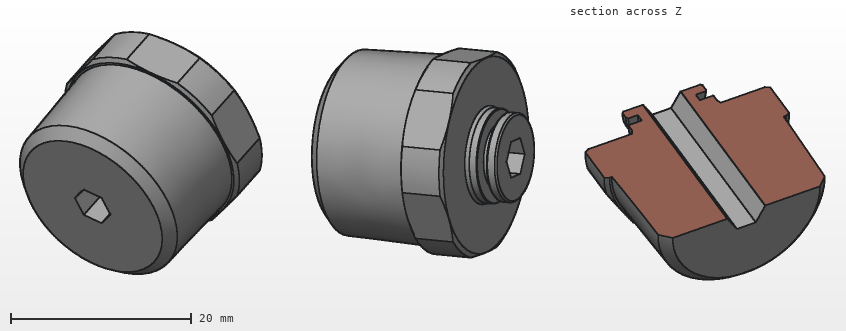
import cadquery as cq
import math

LENGTH = 20.63
LEAD_IN = 1.2
HEX_START = 11.8
HEX_END = 17.02
FLARE_END = 17.48
COLLAR_END = 18.42
FLANGE_START = 19.35

FACE_RADIUS = 9.15
THREAD_TIP_RADIUS = 10.37
TAPER = 1 / 32
HEX_ROUND_RADIUS = 11.5
HEX_FACE_RADIUS = 10.97
FLARE_RADIUS = 5.5
COLLAR_RADIUS = 5.31
NECK_RADIUS = 3.63
FLANGE_RADIUS = 5.0

HEX_FLATS = 22.0
HEX_CHAMFER = 0.3
FLANGE_CHAMFER = 0.2
COLLAR_CHAMFER = 0.1
KEY_FLATS = 4.05


def hexagon(across_flats, start, end):
    """Hexagonal bar along +Y with its flats facing +Z and -Z."""
    across_corners = across_flats / math.cos(math.pi / 6)
    bar = cq.Workplane("XZ").polygon(6, across_corners).extrude(start - end)
    return bar.translate((0, start, 0))


def turned(profile):
    """Solid of revolution about Y from (radius, station) points."""
    return cq.Workplane("XY").polyline(profile).close().revolve(360, (0, 0, 0), (0, 1, 0))



def threaded_plug():
    """Tapered plug with a lead-in chamfer."""
    root_radius = THREAD_TIP_RADIUS + TAPER * (HEX_START - LEAD_IN)
    return turned([
        (0, 0),
        (FACE_RADIUS, 0),
        (THREAD_TIP_RADIUS, LEAD_IN),
        (root_radius, HEX_START),
        (0, HEX_START),
    ])


def hex_body():
    """Wrench hexagon with rounded corners and chamfered ends."""
    envelope = turned([
        (0, HEX_START),
        (HEX_FACE_RADIUS, HEX_START),
        (HEX_ROUND_RADIUS, HEX_START + HEX_CHAMFER),
        (HEX_ROUND_RADIUS, HEX_END - HEX_CHAMFER),
        (HEX_FACE_RADIUS, HEX_END),
        (0, HEX_END),
    ])
    return hexagon(HEX_FLATS, HEX_START, HEX_END).intersect(envelope)


def release_end():
    """Flared collar, neck and chamfered release flange."""
    return turned([
        (0, HEX_END),
        (FLARE_RADIUS, HEX_END),
        (COLLAR_RADIUS, FLARE_END),
        (COLLAR_RADIUS, COLLAR_END - COLLAR_CHAMFER),
        (COLLAR_RADIUS - COLLAR_CHAMFER, COLLAR_END),
        (NECK_RADIUS, COLLAR_END),
        (NECK_RADIUS, FLANGE_START),
        (FLANGE_RADIUS - FLANGE_CHAMFER, FLANGE_START),
        (FLANGE_RADIUS, FLANGE_START + FLANGE_CHAMFER),
        (FLANGE_RADIUS, LENGTH - FLANGE_CHAMFER),
        (FLANGE_RADIUS - FLANGE_CHAMFER, LENGTH),
        (0, LENGTH),
    ])


key_hole = hexagon(KEY_FLATS, 0, LENGTH)
result = threaded_plug().union(hex_body()).union(release_end()).cut(key_hole)